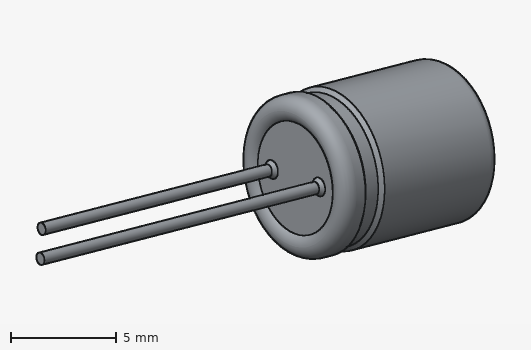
import cadquery as cq
import math

total_length = 26.5
can_diameter = 8.0
can_length = 9.51
closed_end_fillet = 0.5

groove_front = 1.25
groove_back = 2.45
groove_depth = 0.225
groove_slope = 0.2

rim_radius = 0.7
seal_radius = 2.78

lead_diameter = 0.6
lead_pitch = 3.5
lead_length_difference = 3.0
collar_diameter = 0.93
collar_height = 0.25

can_radius = can_diameter / 2
crest_radius = can_radius - rim_radius
rim_inner_angle = math.asin((crest_radius - seal_radius) / rim_radius)
seal_depth = rim_radius * (1 - math.cos(rim_inner_angle))
rim_y = total_length / 2 - can_length
closed_end_y = total_length / 2
seal_y = rim_y + seal_depth
long_lead_y = -total_length / 2
short_lead_y = long_lead_y + lead_length_difference


def make_can():
    """Revolve the half profile of the can about the Y axis."""
    groove_radius = can_radius - groove_depth
    diagonal = math.sqrt(0.5)
    outer_mid = (
        crest_radius + rim_radius * diagonal,
        rim_y + rim_radius * (1 - diagonal),
    )
    inner_mid = (
        crest_radius - rim_radius * math.sin(rim_inner_angle / 2),
        rim_y + rim_radius * (1 - math.cos(rim_inner_angle / 2)),
    )
    closed_end_mid = (
        can_radius - closed_end_fillet * (1 - diagonal),
        closed_end_y - closed_end_fillet * (1 - diagonal),
    )
    profile = (
        cq.Workplane("XY")
        .moveTo(0, seal_y)
        .lineTo(seal_radius, seal_y)
        .threePointArc(inner_mid, (crest_radius, rim_y))
        .threePointArc(outer_mid, (can_radius, rim_y + rim_radius))
        .lineTo(can_radius, rim_y + groove_front)
        .lineTo(groove_radius, rim_y + groove_front + groove_slope)
        .lineTo(groove_radius, rim_y + groove_back - groove_slope)
        .lineTo(can_radius, rim_y + groove_back)
        .lineTo(can_radius, closed_end_y - closed_end_fillet)
        .threePointArc(closed_end_mid, (can_radius - closed_end_fillet, closed_end_y))
        .lineTo(0, closed_end_y)
        .close()
    )
    return profile.revolve(360, (0, 0, 0), (0, 1, 0), clean=False)


def make_lead(x, tip_y):
    """Straight round lead with a conical collar standing on the seal."""
    base = cq.Workplane("XZ", origin=(x, seal_y, 0))
    wire = base.circle(lead_diameter / 2).extrude(seal_y - tip_y)
    collar = cq.Workplane(
        cq.Solid.makeCone(
            collar_diameter / 2,
            lead_diameter / 2,
            collar_height,
            cq.Vector(x, seal_y, 0),
            cq.Vector(0, -1, 0),
        )
    )
    return wire.union(collar)


result = make_can()
for lead_x, lead_tip_y in (
    (-lead_pitch / 2, short_lead_y),
    (lead_pitch / 2, long_lead_y),
):
    result = result.union(make_lead(lead_x, lead_tip_y), clean=False)